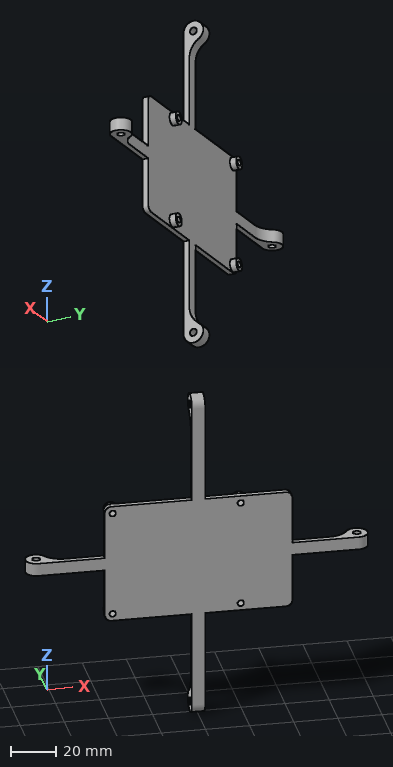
import cadquery as cq
import math

SPAN = 155.2
THICKNESS = 3.0

PLATE_LENGTH = 85.0
PLATE_HEIGHT = 55.9
CORNER_RADIUS = 3.0

ARM_WIDTH = 6.0
EYE_RADIUS = 5.0
EYE_HOLE_DIAMETER = 3.4
EYE_FILLET_RADIUS = 10.0
EYE_OFFSET = SPAN / 2 - EYE_RADIUS

BOSS_DIAMETER = 6.0
BOSS_HEIGHT = 3.1
BOSS_HOLE_DIAMETER = 2.8
BOSS_EDGE_OFFSET = 3.5
BOSS_SPACING_X = 58.0
BOSS_SPACING_Z = 49.0

FRONT_Y = -EYE_RADIUS
REAR_Y = FRONT_Y + THICKNESS


def make_plate():
    plate = cq.Workplane("XY").box(PLATE_LENGTH, THICKNESS, PLATE_HEIGHT)
    plate = plate.edges("|Y").fillet(CORNER_RADIUS)
    return plate.translate((0, (FRONT_Y + REAR_Y) / 2, 0))


def make_arm():
    """Arm from the centre to an eye on +X, blended to its rear face by a tangent arc."""
    blend_y = REAR_Y + EYE_FILLET_RADIUS
    center_distance = EYE_RADIUS + EYE_FILLET_RADIUS
    blend_run = math.sqrt(center_distance**2 - blend_y**2)
    blend_x = EYE_OFFSET - blend_run

    contact_ratio = EYE_RADIUS / center_distance
    contact = (EYE_OFFSET - blend_run * contact_ratio, blend_y * contact_ratio)

    contact_angle = math.atan2(-blend_y, blend_run)
    middle_angle = (contact_angle - math.pi / 2) / 2
    blend_middle = (
        blend_x + EYE_FILLET_RADIUS * math.cos(middle_angle),
        blend_y + EYE_FILLET_RADIUS * math.sin(middle_angle),
    )

    return (
        cq.Workplane("XY")
        .moveTo(0, FRONT_Y)
        .lineTo(EYE_OFFSET, FRONT_Y)
        .threePointArc((EYE_OFFSET + EYE_RADIUS, 0), contact)
        .threePointArc(blend_middle, (blend_x, REAR_Y))
        .lineTo(0, REAR_Y)
        .close()
        .moveTo(EYE_OFFSET, 0)
        .circle(EYE_HOLE_DIAMETER / 2)
        .extrude(ARM_WIDTH / 2, both=True)
    )


def boss_cylinders(diameter, start_y, length):
    """Cylinders along +Y at the four standoff positions, grouped toward -X."""
    center_x = -PLATE_LENGTH / 2 + BOSS_EDGE_OFFSET + BOSS_SPACING_X / 2
    return (
        cq.Workplane("XZ", origin=(center_x, start_y, 0))
        .rarray(BOSS_SPACING_X, BOSS_SPACING_Z, 2, 2)
        .circle(diameter / 2)
        .extrude(-length)
    )


body = make_plate()
arm = make_arm()
for angle in (0, 90, 180, 270):
    body = body.union(arm.rotate((0, 0, 0), (0, 1, 0), angle))

body = body.union(boss_cylinders(BOSS_DIAMETER, FRONT_Y, THICKNESS + BOSS_HEIGHT))
result = body.cut(boss_cylinders(BOSS_HOLE_DIAMETER, FRONT_Y, THICKNESS + BOSS_HEIGHT))